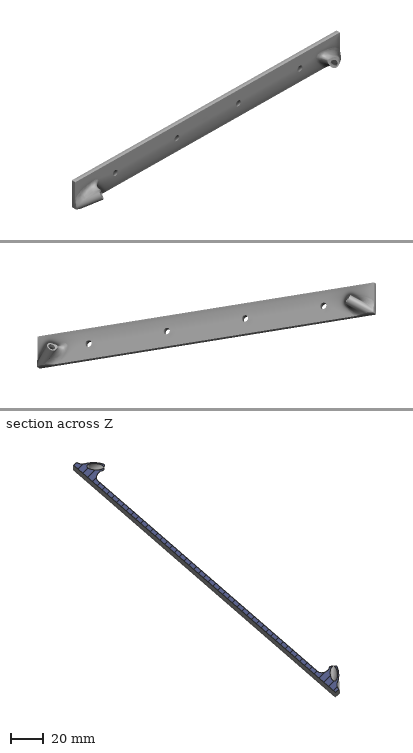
import cadquery as cq
import math

strip_thickness = 3.0
strip_length = 228.0
strip_height = 20.0

hole_diameter = 4.2
hole_count = 4
hole_pitch = 53.0

peg_diameter = 6.2
peg_reach = 14.36
peg_inward_slope = 1.16
peg_upward_slope = 0.685
root_end_distance = 3.5
root_height = 2.15
root_fillet = 4.6

bore_diameter = 4.2
bore_depth = 10.0

margin = 30.0
selection_tolerance = 0.01


def tip_plane():
    """Plane on the flat tip of the peg at the -Y end, its normal pointing out along the axis."""
    axis = cq.Vector(1, peg_inward_slope, peg_upward_slope)
    rim_offset = peg_diameter / 2 * math.sqrt(1 - (1 / axis.Length) ** 2)
    root = cq.Vector(strip_thickness, root_end_distance - strip_length / 2, root_height)
    tip = root + axis * (peg_reach - rim_offset - strip_thickness)
    outward = cq.Vector(0, -peg_inward_slope, -peg_upward_slope)
    return cq.Plane(origin=tip, xDir=outward, normal=axis)


def long_peg():
    """Plain cylinder rising from the back of the strip and running past the tip plane."""
    peg = cq.Workplane(tip_plane()).circle(peg_diameter / 2).extrude(margin, both=True)
    in_front = cq.Workplane("XY").box(
        2 * margin, 2 * strip_length, 2 * margin, centered=(False, True, True)
    )
    return peg.intersect(in_front)


def envelope():
    """Space the strip and peg may fill: within the strip's ends and edges, short of the tip plane."""
    block = cq.Workplane("XY").box(
        2 * margin, strip_length, strip_height, centered=(False, True, False)
    )
    beyond_tip = cq.Workplane(tip_plane()).circle(peg_diameter).extrude(margin)
    return block.cut(beyond_tip)


def strip_with_peg():
    """Strip with the -Y peg, blended on an oversize strip and then trimmed."""
    oversize_strip = cq.Workplane("XY").box(
        strip_thickness,
        strip_length + 2 * margin,
        strip_height + 2 * margin,
        centered=(False, True, True),
    )
    root_edge = cq.selectors.BoxSelector(
        (strip_thickness - selection_tolerance, -strip_length / 2 - margin / 2, -margin / 2),
        (strip_thickness + selection_tolerance, 0, strip_height),
        boundingbox=True,
    )
    blended = oversize_strip.union(long_peg()).edges(root_edge).fillet(root_fillet)
    return blended.intersect(envelope())


def tip_bore():
    """Cutting cylinder for the blind bore in the tip."""
    return cq.Workplane(tip_plane()).circle(bore_diameter / 2).extrude(-bore_depth)


def mounting_holes():
    """Cutting cylinders for the row of holes."""
    return (
        cq.Workplane("YZ")
        .center(0, strip_height / 2)
        .rarray(hole_pitch, 1, hole_count, 1)
        .circle(hole_diameter / 2)
        .extrude(strip_thickness)
    )


near_half = strip_with_peg().cut(tip_bore())
far_half = near_half.mirror("XZ")
result = near_half.union(far_half).cut(mounting_holes()).solids()